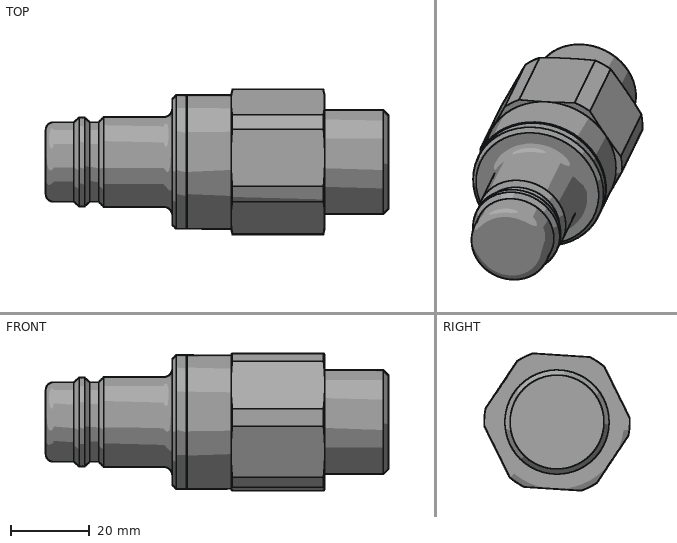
import cadquery as cq
import math

length = 87.0
nose_radius = 2.1
ring_start = 7.2
ring_slope = 1.3
ring_land = 1.4
stem_start = 13.5
collar_start = 32.1
groove_start = 35.8
groove_width = 0.3
hex_start = 47.1
hex_end = 70.8

nose_diameter = 20.3
ring_diameter = 22.6
stem_diameter = 22.9
collar_diameter = 34.0
groove_diameter = 33.7
tail_diameter = 26.45

root_fillet = 2.1
collar_chamfer = 1.05
tail_chamfer = 1.3

hex_flats = 34.0
hex_corner_diameter = 37.0
hex_tilt = 3.7
hex_end_bevel = 0.35


def make_turned_body():
    nose_r = nose_diameter / 2
    ring_r = ring_diameter / 2
    stem_r = stem_diameter / 2
    collar_r = collar_diameter / 2
    tail_r = tail_diameter / 2
    land_start = ring_start + ring_slope
    land_end = land_start + ring_land
    arc_offset = math.sqrt(0.5)
    nose_mid = (nose_radius * (1 - arc_offset), nose_r - nose_radius * (1 - arc_offset))
    root_mid = (
        collar_start - root_fillet * (1 - arc_offset),
        stem_r + root_fillet * (1 - arc_offset),
    )
    return (
        cq.Workplane("XY")
        .lineTo(0, nose_r - nose_radius)
        .threePointArc(nose_mid, (nose_radius, nose_r))
        .lineTo(ring_start, nose_r)
        .lineTo(land_start, ring_r)
        .lineTo(land_end, ring_r)
        .lineTo(land_end + ring_slope, nose_r)
        .lineTo(stem_start, nose_r)
        .lineTo(stem_start + ring_slope, stem_r)
        .lineTo(collar_start - root_fillet, stem_r)
        .threePointArc(root_mid, (collar_start, stem_r + root_fillet))
        .lineTo(collar_start, collar_r - collar_chamfer)
        .lineTo(collar_start + collar_chamfer, collar_r)
        .lineTo(hex_start, collar_r)
        .lineTo(hex_start, tail_r)
        .lineTo(length - tail_chamfer, tail_r)
        .lineTo(length, tail_r - tail_chamfer)
        .lineTo(length, 0)
        .close()
        .revolve(360, (0, 0, 0), (1, 0, 0))
    )


def make_collar_groove():
    return (
        cq.Workplane("YZ", origin=(groove_start, 0, 0))
        .circle(collar_diameter)
        .circle(groove_diameter / 2)
        .extrude(groove_width)
    )


def make_hexagon():
    sharp_diameter = hex_flats / math.cos(math.pi / 6)
    prism = (
        cq.Workplane("YZ", origin=(hex_start, 0, 0))
        .polygon(6, sharp_diameter)
        .extrude(hex_end - hex_start)
        .rotate((0, 0, 0), (1, 0, 0), -hex_tilt)
    )
    face_r = hex_flats / 2
    corner_r = hex_corner_diameter / 2
    envelope = (
        cq.Workplane("XY")
        .moveTo(hex_start, 0)
        .lineTo(hex_start, face_r)
        .lineTo(hex_start + hex_end_bevel, corner_r)
        .lineTo(hex_end - hex_end_bevel, corner_r)
        .lineTo(hex_end, face_r)
        .lineTo(hex_end, 0)
        .close()
        .revolve(360, (0, 0, 0), (1, 0, 0))
    )
    return prism.intersect(envelope)


result = make_turned_body().cut(make_collar_groove()).union(make_hexagon())